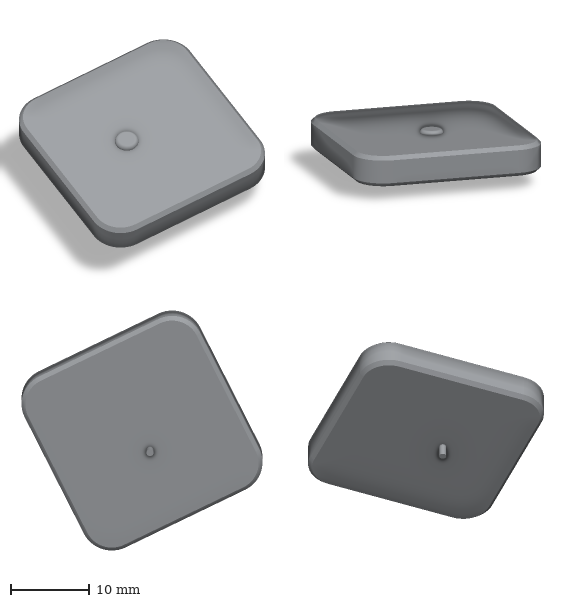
import cadquery as cq

side = 25
plate_height = 4
corner_radius = 4
edge_chamfer = 0.5

axis_y = -2.3
button_diameter = 3
button_height = 0.5
button_rounding = 0.48
pin_diameter = 0.9
pin_length = 1.65


def make_plate():
    """Rounded square plate standing on Z = 0, chamfered top and bottom."""
    block = cq.Workplane("XY").rect(side, side).extrude(plate_height)
    block = block.edges("|Z").fillet(corner_radius)
    return block.faces("<Z or >Z").chamfer(edge_chamfer)


def make_button():
    """Low disc with a rounded upper rim."""
    disc = cq.Workplane("XY", origin=(0, axis_y, plate_height))
    disc = disc.circle(button_diameter / 2).extrude(button_height)
    return disc.faces(">Z").edges().fillet(button_rounding)


def make_pin():
    """Round pin reaching from the top of the plate to below its underside."""
    pin = cq.Workplane("XY", origin=(0, axis_y, -pin_length))
    return pin.circle(pin_diameter / 2).extrude(pin_length + plate_height)


result = make_plate().union(make_button()).union(make_pin())